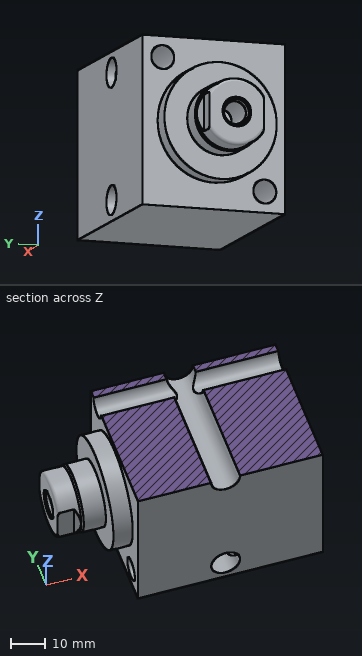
import cadquery as cq

overall_length = 77.5
block_length = 57.2
block_width = 44.5
block_height = 50.8
block_face_x = overall_length - block_length

flange_thickness = 6.0
flange_diameter = 34.95
flange_face_x = block_face_x - flange_thickness
rod_radius = 20.8 / 2
neck_radius = 20.15 / 2
neck_length = 6.8
step_length = 0.7
tip_fillet = 1.0

across_flats = 16.9
flat_length = 5.1
flat_cut_depth = 3.1

bore_diameter = 6.8
bore_depth = 15.0
countersink_diameter = 8.8
lead_in_diameter = 7.8
countersink_depth = (countersink_diameter - lead_in_diameter) / 2
lead_in_length = 1.2

hole_offset_z = 19.05
corner_hole_offset_y = 15.9
corner_hole_diameter = 7.1
cross_hole_diameter = 8.8
cross_hole_x = 47.4


def cylinder_along_x(x_start, length, diameter, y=0, z=0):
    return (
        cq.Workplane("YZ", origin=(x_start, y, z))
        .circle(diameter / 2)
        .extrude(length)
    )


def make_rod():
    """Rod with a rounded tip and a short conical step behind the neck."""
    rod = (
        cq.Workplane("XY")
        .lineTo(0, neck_radius)
        .lineTo(neck_length, neck_radius)
        .lineTo(neck_length + step_length, rod_radius)
        .lineTo(flange_face_x, rod_radius)
        .lineTo(flange_face_x, 0)
        .close()
        .revolve(360, (0, 0, 0), (1, 0, 0))
    )
    return rod.faces("<X").edges().fillet(tip_fillet)


def make_flat_cut(side):
    """Material removed from one side of the rod; side is +1 or -1 along Y."""
    flat_y = across_flats / 2
    outer_y = flat_y + flat_cut_depth
    return (
        cq.Workplane("XY")
        .moveTo(0, side * flat_y)
        .lineTo(flat_length, side * flat_y)
        .lineTo(flat_length + flat_cut_depth, side * outer_y)
        .lineTo(0, side * outer_y)
        .close()
        .extrude(rod_radius, both=True)
    )


def make_bore():
    """Flat-bottomed bore with a 45 degree countersink and a steeper lead-in cone."""
    bore_radius = bore_diameter / 2
    return (
        cq.Workplane("XY")
        .lineTo(0, countersink_diameter / 2)
        .lineTo(countersink_depth, lead_in_diameter / 2)
        .lineTo(countersink_depth + lead_in_length, bore_radius)
        .lineTo(bore_depth, bore_radius)
        .lineTo(bore_depth, 0)
        .close()
        .revolve(360, (0, 0, 0), (1, 0, 0))
    )


block = cq.Workplane("XY").box(block_length, block_width, block_height)
block = block.translate((block_face_x + block_length / 2, 0, 0))

flange = cylinder_along_x(flange_face_x, flange_thickness, flange_diameter)

rod = make_rod().cut(make_bore())
for side in (1, -1):
    rod = rod.cut(make_flat_cut(side))

for side in (1, -1):
    block = block.cut(
        cylinder_along_x(
            block_face_x,
            block_length,
            corner_hole_diameter,
            side * corner_hole_offset_y,
            side * hole_offset_z,
        )
    )
    cross_hole = (
        cq.Workplane("XZ", origin=(cross_hole_x, 0, side * hole_offset_z))
        .circle(cross_hole_diameter / 2)
        .extrude(block_width / 2, both=True)
    )
    block = block.cut(cross_hole)

result = block.union(flange).union(rod)